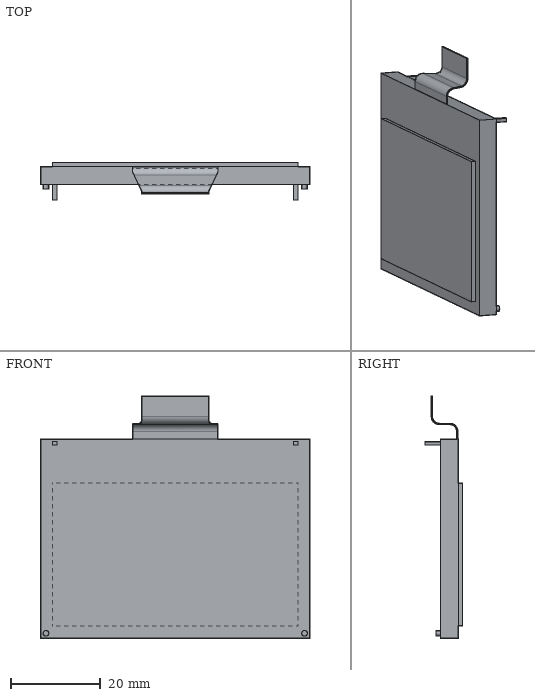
import cadquery as cq

MODULE_WIDTH = 60.1
MODULE_DEPTH = 4.0
MODULE_HEIGHT = 44.5

PLATE_SIDE_INSET = 2.65
PLATE_WIDTH = MODULE_WIDTH - 2 * PLATE_SIDE_INSET
PLATE_DEPTH = 0.95
PLATE_BOTTOM = 2.8
PLATE_HEIGHT = 31.85

PIN_WIDTH = 1.0
PIN_HEIGHT = 0.8
PIN_LENGTH = 3.5
PIN_X = PLATE_WIDTH / 2 - PIN_WIDTH / 2
PIN_DROP = 0.95

PEG_DIAMETER = 1.25
PEG_LENGTH = 1.0
PEG_SIDE_INSET = 1.2
PEG_Z = 1.15

TAIL_THICKNESS = 0.3
TAIL_WIDE = 19.0
TAIL_NARROW = 15.0
TAIL_RISE = 9.6
TAIL_SHELF_TOP = 3.55
TAIL_BACK_INSET = 0.1
TAIL_OVERHANG = 2.05
BEND_OUTER_RADIUS = 1.8
BEND_INNER_RADIUS = BEND_OUTER_RADIUS - TAIL_THICKNESS
TAPER_START = 1.25
TAPER_END = 0.6


def make_display():
    """Module block with its back plate, terminal pins and locating pegs."""
    display = cq.Workplane("XY").box(
        MODULE_WIDTH, MODULE_DEPTH, MODULE_HEIGHT, centered=(True, False, False)
    )
    plate = (
        cq.Workplane("XY")
        .box(PLATE_WIDTH, PLATE_DEPTH, PLATE_HEIGHT, centered=(True, False, False))
        .translate((0, MODULE_DEPTH, PLATE_BOTTOM))
    )
    display = display.union(plate)

    front_face = cq.Workplane("XZ")
    pin_z = MODULE_HEIGHT - PIN_DROP
    pins = (
        front_face.pushPoints([(-PIN_X, pin_z), (PIN_X, pin_z)])
        .rect(PIN_WIDTH, PIN_HEIGHT)
        .extrude(PIN_LENGTH)
    )
    peg_x = MODULE_WIDTH / 2 - PEG_SIDE_INSET
    pegs = (
        front_face.pushPoints([(-peg_x, PEG_Z), (peg_x, PEG_Z)])
        .circle(PEG_DIAMETER / 2)
        .extrude(PEG_LENGTH)
    )
    return display.union(pins).union(pegs)


def make_tail():
    """Thin S-bent strip standing on the module, narrowing towards the front."""
    back = MODULE_DEPTH - TAIL_BACK_INSET
    front = -TAIL_OVERHANG
    shelf_top = MODULE_HEIGHT + TAIL_SHELF_TOP
    shelf_bottom = shelf_top - TAIL_THICKNESS
    tail_top = MODULE_HEIGHT + TAIL_RISE

    lower_bend_y = back - BEND_OUTER_RADIUS
    lower_bend_z = shelf_top - BEND_OUTER_RADIUS
    upper_bend_y = front + BEND_OUTER_RADIUS
    upper_bend_z = shelf_bottom + BEND_OUTER_RADIUS

    strip = (
        cq.Workplane("YZ")
        .moveTo(back, MODULE_HEIGHT)
        .lineTo(back, lower_bend_z)
        .radiusArc((lower_bend_y, shelf_top), -BEND_OUTER_RADIUS)
        .lineTo(upper_bend_y, shelf_top)
        .radiusArc((front + TAIL_THICKNESS, upper_bend_z), BEND_INNER_RADIUS)
        .lineTo(front + TAIL_THICKNESS, tail_top)
        .lineTo(front, tail_top)
        .lineTo(front, upper_bend_z)
        .radiusArc((upper_bend_y, shelf_bottom), -BEND_OUTER_RADIUS)
        .lineTo(lower_bend_y, shelf_bottom)
        .radiusArc((back - TAIL_THICKNESS, lower_bend_z), BEND_INNER_RADIUS)
        .lineTo(back - TAIL_THICKNESS, MODULE_HEIGHT)
        .close()
        .extrude(TAIL_WIDE / 2, both=True)
    )

    taper_back = MODULE_DEPTH - TAPER_START
    taper_front = front + TAPER_END
    outline = (
        cq.Workplane("XY", origin=(0, 0, MODULE_HEIGHT))
        .polyline([
            (-TAIL_WIDE / 2, back),
            (-TAIL_WIDE / 2, taper_back),
            (-TAIL_NARROW / 2, taper_front),
            (-TAIL_NARROW / 2, front),
            (TAIL_NARROW / 2, front),
            (TAIL_NARROW / 2, taper_front),
            (TAIL_WIDE / 2, taper_back),
            (TAIL_WIDE / 2, back),
        ])
        .close()
        .extrude(TAIL_RISE)
    )
    return strip.intersect(outline)


display = make_display()
tail = make_tail()
result = cq.Compound.makeCompound([display.solids().val(), tail.solids().val()])